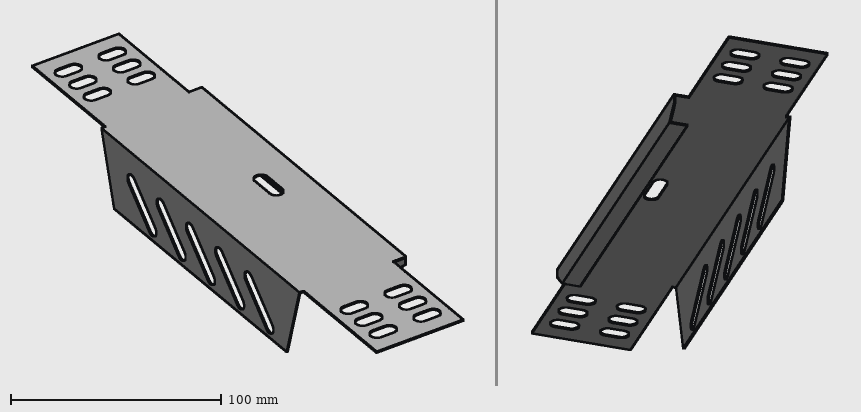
import cadquery as cq

length = 295.0
width = 59.3
height = 40.0
sheet = 0.75

tab_width = 49.5
front_step = 2.5
tab_front = -width / 2 + front_step
tab_center_y = tab_front + tab_width / 2

front_top_width = 169.5
front_bottom_width = 147.8

rear_width = 175.0
rear_height = 11.8
rear_straight_height = 4.5
rear_clip = rear_height - rear_straight_height
lip_depth = 9.0

slot_width = 7.0
tab_slot_length = 14.2
tab_slot_pitch_x = 12.5
tab_slot_pitch_y = 25.0
tab_slot_columns = 3
tab_slot_rows = 2
tab_slot_end_margin = 12.7
center_slot_length = 20.0
center_slot_y = 9.5
flange_slot_length = 32.2
flange_slot_pitch = 25.0
flange_slot_count = 5
flange_slot_depth = 25.0
flange_slot_angle = -45


def block(x_size, y_min, y_max, z_min, z_max):
    """Box centred on X between the given Y and Z limits."""
    box = cq.Workplane("XY").box(x_size, y_max - y_min, z_max - z_min)
    return box.translate((0, (y_min + y_max) / 2, (z_min + z_max) / 2))


def upright_sheet(outline, outer_y):
    """Sheet with an XZ outline, reaching from outer_y one thickness toward +Y."""
    return cq.Workplane("XZ", origin=(0, outer_y, 0)).polyline(outline).close().extrude(-sheet)


def make_top_plate():
    tabs = block(length, tab_front, tab_front + tab_width, -sheet, 0)
    front_half = block(front_top_width, -width / 2, 0, -sheet, 0)
    rear_half = block(rear_width, 0, width / 2, -sheet, 0)
    return tabs.union(front_half).union(rear_half)


def make_front_flange():
    outline = [
        (-front_top_width / 2, 0),
        (front_top_width / 2, 0),
        (front_bottom_width / 2, -height),
        (-front_bottom_width / 2, -height),
    ]
    return upright_sheet(outline, -width / 2)


def make_rear_flange():
    half_top = rear_width / 2
    half_bottom = half_top - rear_clip
    outline = [
        (-half_top, 0),
        (half_top, 0),
        (half_top, -rear_straight_height),
        (half_bottom, -rear_height),
        (-half_bottom, -rear_height),
        (-half_top, -rear_straight_height),
    ]
    return upright_sheet(outline, width / 2 - sheet)


def make_lip():
    lip_width = rear_width - 2 * rear_clip
    return block(lip_width, width / 2 - lip_depth, width / 2, -rear_height, sheet - rear_height)


def plate_slots():
    """Cutters for the slot groups in both tabs and the single slot in the middle."""
    group_center_x = length / 2 - tab_slot_end_margin - tab_slot_pitch_x * (tab_slot_columns - 1) / 2
    cutters = cq.Workplane("XY").center(0, center_slot_y).slot2D(center_slot_length, slot_width)
    cutters = cutters.extrude(-sheet)
    for side in (-1, 1):
        group = (
            cq.Workplane("XY")
            .center(side * group_center_x, tab_center_y)
            .rarray(tab_slot_pitch_x, tab_slot_pitch_y, tab_slot_columns, tab_slot_rows)
            .slot2D(tab_slot_length, slot_width, 90)
            .extrude(-sheet)
        )
        cutters = cutters.union(group)
    return cutters


def flange_slots():
    """Cutters for the row of slanted slots in the front flange."""
    return (
        cq.Workplane("XZ", origin=(0, -width / 2, -flange_slot_depth))
        .rarray(flange_slot_pitch, 3, flange_slot_count, 1)
        .slot2D(flange_slot_length, slot_width, flange_slot_angle)
        .extrude(-sheet)
    )


body = make_top_plate().union(make_front_flange()).union(make_rear_flange()).union(make_lip())
result = body.cut(plate_slots()).cut(flange_slots())